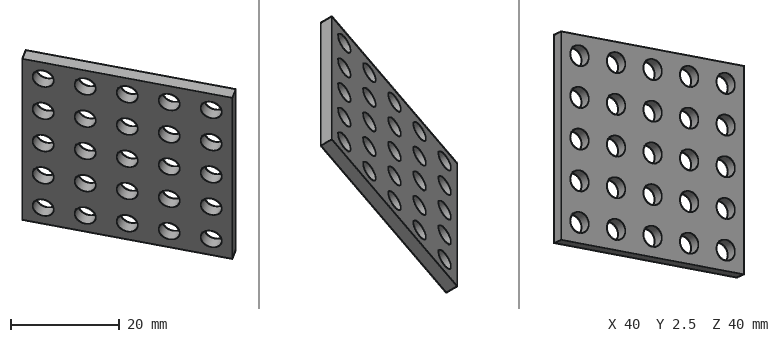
import cadquery as cq

side = 40.0
thickness = 2.5
holes_per_side = 5
hole_diameter = 4.0
hole_pitch = side / holes_per_side

plate = cq.Workplane("XY").box(side, thickness, side)

result = (
    plate.faces("<Y")
    .workplane(centerOption="CenterOfBoundBox")
    .rarray(hole_pitch, hole_pitch, holes_per_side, holes_per_side)
    .hole(hole_diameter)
)